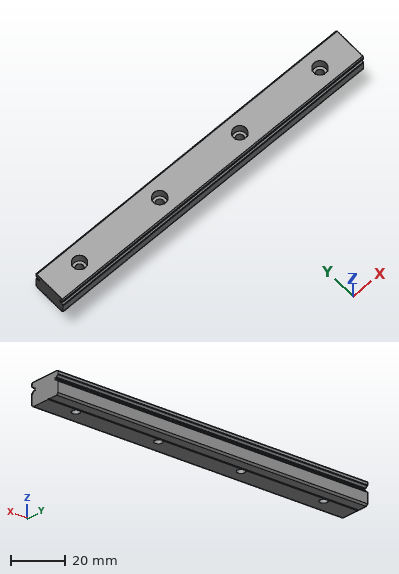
import cadquery as cq
import math

length = 150.0
width = 15.0
height = 10.0
half_width = width / 2

top_chamfer = 0.5
bottom_chamfer = 0.8

raceway_height = 6.93
ball_radius = 1.35
ball_center_offset = 0.31
lip_depth = 0.2
lip_rise = 0.25
relief_depth = 1.75
relief_width = 0.94

mark_offset = 2.0
mark_radius = 0.27

hole_count = 4
hole_pitch = 40.0
hole_diameter = 3.5
counterbore_diameter = 6.0
counterbore_depth = 4.5
first_hole = -(hole_count - 1) * hole_pitch / 2


def rail_blank():
    """Rectangular bar with chamfered long edges."""
    bar = cq.Workplane("XY").box(length, width, height, centered=(True, True, False))
    bar = bar.faces(">Z").edges("|X").chamfer(top_chamfer)
    return bar.faces("<Z").edges("|X").chamfer(bottom_chamfer)


def raceway():
    """Raceway cutter for the +Y side."""
    ball_center = half_width + ball_center_offset
    lip_end = half_width - lip_depth
    groove_rise = math.sqrt(ball_radius**2 - (ball_center - lip_end) ** 2)
    mouth_rise = groove_rise + lip_rise
    groove_root = ball_center - ball_radius

    profile = cq.Workplane("YZ", origin=(-length / 2, 0, raceway_height))
    groove = (
        profile.moveTo(half_width, mouth_rise)
        .lineTo(lip_end, groove_rise)
        .threePointArc((groove_root, 0), (lip_end, -groove_rise))
        .lineTo(half_width, -mouth_rise)
        .close()
        .extrude(length)
    )
    relief = (
        profile.center(half_width - relief_depth / 2, 0)
        .rect(relief_depth, relief_width)
        .extrude(length)
    )
    return groove.union(relief)


def reference_groove():
    """Groove cutter in the underside, on the +Y half."""
    profile = cq.Workplane("YZ", origin=(-length / 2, mark_offset, 0))
    return profile.circle(mark_radius).extrude(length)


def drill_mounting_holes(rail):
    """Drill the row of counterbored holes down from the top face."""
    positions = [(first_hole + i * hole_pitch, 0) for i in range(hole_count)]
    top = cq.Workplane("XY", origin=(0, 0, height)).pushPoints(positions)
    bores = top.circle(hole_diameter / 2).extrude(-height)
    counterbores = top.circle(counterbore_diameter / 2).extrude(-counterbore_depth)
    return rail.cut(bores).cut(counterbores)


rail = rail_blank()
for cutter in (raceway(), raceway().mirror("XZ")):
    rail = rail.cut(cutter)
rail = rail.cut(reference_groove())
result = drill_mounting_holes(rail)